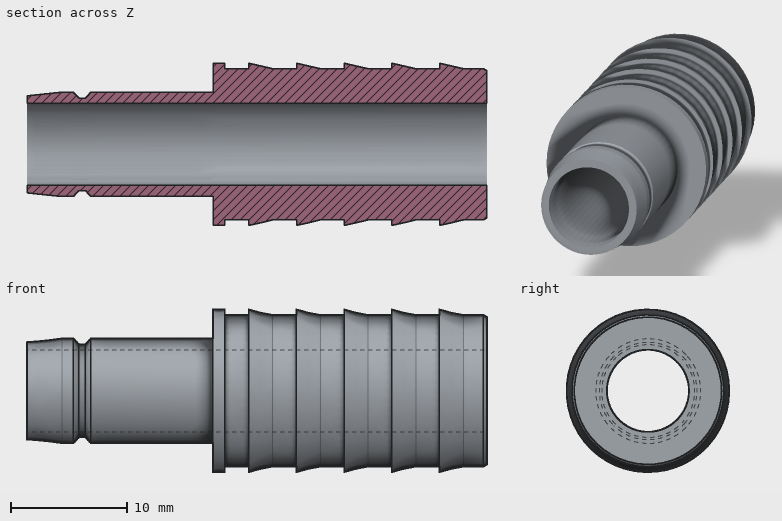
import cadquery as cq


total_length = 39.5
flange_radius = 7.0
stem_radius = 4.5
tail_radius = 6.5
bore_radius = 3.5

nose_length = 3.0
groove_start = 4.0
groove_end = 5.5
flange_start = 15.95
flange_end = 17.0

nose_tip_radius = 4.2
groove_depth = 0.5
groove_flank_length = 0.47

barb_count = 5
barb_length = (total_length - flange_end) / (2 * barb_count + 1)
barb_pitch = 2 * barb_length
barb_radius = flange_radius

end_chamfer_length = 0.3
end_chamfer_depth = 0.2


def add_stem(profile):
    """Tapered nose, locking groove with sloping flanks and plain shank."""
    groove_radius = stem_radius - groove_depth
    return (
        profile.moveTo(0, 0)
        .lineTo(0, nose_tip_radius)
        .lineTo(nose_length, stem_radius)
        .lineTo(groove_start, stem_radius)
        .lineTo(groove_start + groove_flank_length, groove_radius)
        .lineTo(groove_end - groove_flank_length, groove_radius)
        .lineTo(groove_end, stem_radius)
        .lineTo(flange_start, stem_radius)
    )


def add_flange(profile):
    """Stop flange between the stem and the hose tail."""
    return (
        profile.lineTo(flange_start, flange_radius)
        .lineTo(flange_end, flange_radius)
        .lineTo(flange_end, tail_radius)
    )


def add_hose_tail(profile):
    """Row of barbs that taper toward the free end, then the end chamfer."""
    for index in range(barb_count):
        barb_start = flange_end + barb_length + index * barb_pitch
        profile = (
            profile.lineTo(barb_start, tail_radius)
            .lineTo(barb_start, barb_radius)
            .lineTo(barb_start + barb_length, tail_radius)
        )
    return (
        profile.lineTo(total_length - end_chamfer_length, tail_radius)
        .lineTo(total_length, tail_radius - end_chamfer_depth)
        .lineTo(total_length, 0)
    )


half_profile = add_hose_tail(add_flange(add_stem(cq.Workplane("XY")))).close()
body = half_profile.revolve(360, (0, 0, 0), (1, 0, 0))
bore = cq.Workplane("YZ").circle(bore_radius).extrude(total_length)
result = body.cut(bore)